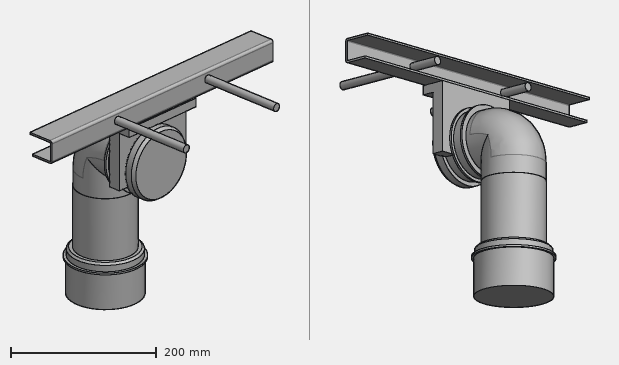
import cadquery as cq

TOTAL_HEIGHT = 343.0

RAIL_LENGTH = 440.0
RAIL_HEIGHT = 34.7
RAIL_BACK_X = 108.0
RAIL_TOP_FRONT_X = 66.5
RAIL_BOTTOM_FRONT_X = 71.2
SHEET = 3.0
BEND_INNER_RADIUS = 1.0
BEND_OUTER_RADIUS = BEND_INNER_RADIUS + SHEET
RAIL_BOTTOM_Z = TOTAL_HEIGHT - RAIL_HEIGHT

ROD_DIAMETER = 12.0
ROD_LENGTH = 180.0
ROD_START_X = 58.5
ROD_Z = 329.5
ROD_SPACING = 179.5

BRACKET_WIDTH = 133.0
BRACKET_FRONT_X = 71.2
BRACKET_THICKNESS = 18.5
BRACKET_HEIGHT = 100.5
LIP_THICKNESS = 13.0
BRACKET_BACK_X = BRACKET_FRONT_X + BRACKET_THICKNESS
BRACKET_BOTTOM_Z = RAIL_BOTTOM_Z - BRACKET_HEIGHT

ELBOW_DIAMETER = 89.3
PIPE_DIAMETER = 90.0
BEND_RADIUS = 40.0
AXIS_Z = 229.5
ELBOW_BOTTOM_Z = 164.0
BEND_CENTRE_Z = AXIS_Z - BEND_RADIUS

OUTLET_DIAMETER = 96.0
COLLAR_DIAMETER = 105.0
COLLAR_THICKNESS = 3.0
FIRST_COLLAR_X = 48.0
BEAD_DIAMETER = 107.8
BEAD_END_DIAMETER = 100.5
BEAD_START_X = 88.0
BEAD_CHAMFER_X = 100.3
OUTLET_END_X = 105.5

SPIGOT_DIAMETER = 110.0
SPIGOT_HEIGHT = 54.5
FLANGE_DIAMETER = 116.0
FLANGE_THICKNESS = 2.5
SOCKET_DIAMETER = 107.5
SOCKET_TOP_DIAMETER = 100.5
SOCKET_CHAMFER_Z = 67.0
ADAPTER_TOP_Z = 70.0
FLANGE_TOP_Z = SPIGOT_HEIGHT + FLANGE_THICKNESS


def cylinder_x(diameter, x_start, x_end, z):
    """Solid cylinder along X, centred on Y = 0."""
    plane = cq.Workplane("YZ", origin=(x_start, 0, z))
    return plane.circle(diameter / 2).extrude(x_end - x_start)


def cylinder_z(diameter, z_start, z_end):
    """Solid cylinder along the drain pipe axis."""
    plane = cq.Workplane("XY", origin=(0, 0, z_start))
    return plane.circle(diameter / 2).extrude(z_end - z_start)


def cone_z(bottom_diameter, top_diameter, z_start, z_end):
    """Solid truncated cone along the drain pipe axis."""
    return cq.Workplane(
        cq.Solid.makeCone(bottom_diameter / 2, top_diameter / 2, z_end - z_start, cq.Vector(0, 0, z_start))
    )


def extrude_profile(points, width):
    """Closed XZ outline extruded symmetrically about Y = 0."""
    return cq.Workplane("XZ").polyline(points).close().extrude(width / 2, both=True)


def make_rod(y):
    return cylinder_x(ROD_DIAMETER, ROD_START_X, ROD_START_X + ROD_LENGTH, ROD_Z).translate((0, y, 0))


def make_rail(rods):
    """C-channel with bent corners and one hole for each rod."""
    inner_x = RAIL_BACK_X - SHEET
    inner_bottom = RAIL_BOTTOM_Z + SHEET
    inner_top = TOTAL_HEIGHT - SHEET
    rail = extrude_profile(
        [
            (RAIL_BOTTOM_FRONT_X, RAIL_BOTTOM_Z),
            (RAIL_BACK_X, RAIL_BOTTOM_Z),
            (RAIL_BACK_X, TOTAL_HEIGHT),
            (RAIL_TOP_FRONT_X, TOTAL_HEIGHT),
            (RAIL_TOP_FRONT_X, inner_top),
            (inner_x, inner_top),
            (inner_x, inner_bottom),
            (RAIL_BOTTOM_FRONT_X, inner_bottom),
        ],
        RAIL_LENGTH,
    )
    rail = rail.edges("|Y and >X").fillet(BEND_OUTER_RADIUS)
    inner_corners = cq.selectors.BoxSelector(
        (inner_x - SHEET / 2, -RAIL_LENGTH, RAIL_BOTTOM_Z),
        (inner_x + SHEET / 2, RAIL_LENGTH, TOTAL_HEIGHT),
    )
    rail = rail.edges("|Y").edges(inner_corners).fillet(BEND_INNER_RADIUS)
    for rod in rods:
        rail = rail.cut(rod)
    return rail


def make_bend():
    """Mitred legs, with the outer corner trimmed to a torus."""
    reach = 2 * ELBOW_DIAMETER
    upright = cylinder_z(ELBOW_DIAMETER, ELBOW_BOTTOM_Z, AXIS_Z + reach)
    level = cylinder_x(ELBOW_DIAMETER, -reach, FIRST_COLLAR_X, AXIS_Z)
    above_mitre = extrude_profile(
        [(-reach, AXIS_Z + reach), (reach, AXIS_Z + reach), (reach, AXIS_Z - reach)], reach
    )
    legs = upright.cut(above_mitre).union(level.intersect(above_mitre))

    corner = cq.Workplane("XY").box(reach, reach, reach, centered=(False, True, False))
    corner = corner.translate((BEND_RADIUS - reach, 0, BEND_CENTRE_Z))

    section_depth = 4.5
    section = cylinder_z(ELBOW_DIAMETER, BEND_CENTRE_Z, BEND_CENTRE_Z + section_depth)
    past_axis = cq.Workplane("XY").box(reach, reach, reach, centered=(False, True, True))
    section = section.cut(past_axis.translate((BEND_RADIUS, 0, BEND_CENTRE_Z)))
    torus = (
        section.faces("<Z").wires().toPending()
        .workplane(origin=(BEND_RADIUS, 0, BEND_CENTRE_Z))
        .revolve(360, (0, 0, 0), (0, 1, 0), combine=False)
    )
    return legs.cut(corner.cut(torus))


def make_outlet():
    """Collared outlet ending in a chamfered bead."""
    second_collar_x = BRACKET_FRONT_X - COLLAR_THICKNESS
    outlet = cylinder_x(OUTLET_DIAMETER, FIRST_COLLAR_X, BEAD_START_X, AXIS_Z)
    for x in (FIRST_COLLAR_X, second_collar_x):
        outlet = outlet.union(cylinder_x(COLLAR_DIAMETER, x, x + COLLAR_THICKNESS, AXIS_Z))
    bead = cylinder_x(BEAD_DIAMETER, BEAD_START_X, OUTLET_END_X, AXIS_Z)
    bead_chamfer = (BEAD_DIAMETER - BEAD_END_DIAMETER) / 2
    bead = bead.faces(">X").chamfer(OUTLET_END_X - BEAD_CHAMFER_X, bead_chamfer)
    return outlet.union(bead)


def make_elbow():
    """Bend, outlet and long straight pipe standing on the adapter."""
    pipe = cylinder_z(PIPE_DIAMETER, ADAPTER_TOP_Z, ELBOW_BOTTOM_Z)
    return make_bend().union(make_outlet()).union(pipe)


def make_bracket(elbow):
    """Hooked plate with a seat matching the elbow outlet."""
    lip_bottom = RAIL_BOTTOM_Z - LIP_THICKNESS
    bracket = extrude_profile(
        [
            (BRACKET_FRONT_X, BRACKET_BOTTOM_Z),
            (BRACKET_BACK_X, BRACKET_BOTTOM_Z),
            (BRACKET_BACK_X, lip_bottom),
            (RAIL_BACK_X, lip_bottom),
            (RAIL_BACK_X, RAIL_BOTTOM_Z),
            (BRACKET_FRONT_X, RAIL_BOTTOM_Z),
        ],
        BRACKET_WIDTH,
    )
    return bracket.cut(elbow)


def make_adapter():
    """Spigot, flange and socket with a chamfered top."""
    adapter = cylinder_z(SPIGOT_DIAMETER, 0, SPIGOT_HEIGHT)
    adapter = adapter.union(cylinder_z(FLANGE_DIAMETER, SPIGOT_HEIGHT, FLANGE_TOP_Z))
    adapter = adapter.union(cylinder_z(SOCKET_DIAMETER, FLANGE_TOP_Z, SOCKET_CHAMFER_Z))
    return adapter.union(cone_z(SOCKET_DIAMETER, SOCKET_TOP_DIAMETER, SOCKET_CHAMFER_Z, ADAPTER_TOP_Z))


rods = [make_rod(side * ROD_SPACING / 2) for side in (-1, 1)]
rail = make_rail(rods)
elbow = make_elbow()
bracket = make_bracket(elbow)
adapter = make_adapter()

result = cq.Compound.makeCompound(
    [solid for body in (rail, *rods, bracket, elbow, adapter) for solid in body.solids().vals()]
)